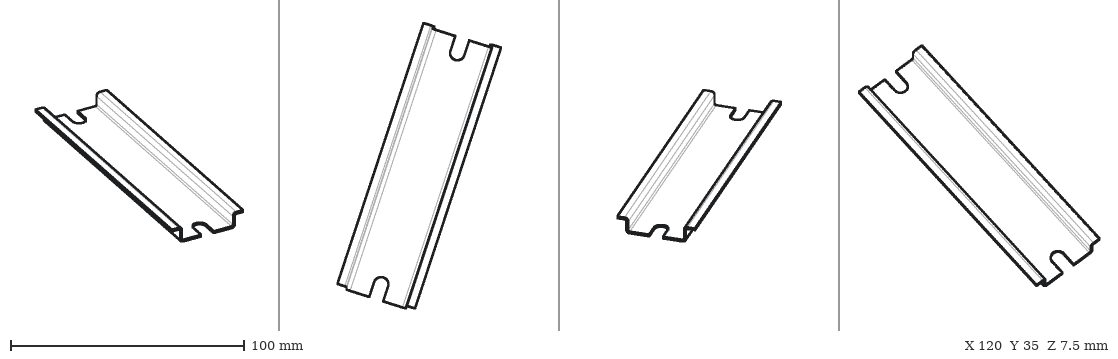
import cadquery as cq

length = 120.0
width = 35.0
height = 7.5

sheet = 1.0
channel_width = 27.0
inner_bend_radius = 0.7
outer_bend_radius = inner_bend_radius + sheet

slot_width = 6.2
slot_depth = 10.0


def rail_section():
    """Closed outline of the folded sheet, in the YZ plane with its base at Z = 0."""
    half_width = width / 2
    half_outer = channel_width / 2
    half_inner = half_outer - sheet
    flange_underside = height - sheet
    return (
        cq.Workplane("YZ")
        .moveTo(-half_width, height)
        .lineTo(-half_inner, height)
        .lineTo(-half_inner, sheet)
        .lineTo(half_inner, sheet)
        .lineTo(half_inner, height)
        .lineTo(half_width, height)
        .lineTo(half_width, flange_underside)
        .lineTo(half_outer, flange_underside)
        .lineTo(half_outer, 0)
        .lineTo(-half_outer, 0)
        .lineTo(-half_outer, flange_underside)
        .lineTo(-half_width, flange_underside)
        .close()
    )


def bend_edges(rail, y, z):
    """Lengthwise corner edges at +Y and -Y for one height."""
    margin = sheet / 4
    corners = rail.edges("|X")
    return corners.filter(
        lambda edge: abs(abs(edge.Center().y) - y) < margin and abs(edge.Center().z - z) < margin
    )


def round_bends(rail):
    """Round both faces of the sheet at all four folds."""
    half_outer = channel_width / 2
    half_inner = half_outer - sheet
    rail = bend_edges(rail, half_outer, 0).fillet(outer_bend_radius)
    rail = bend_edges(rail, half_inner, sheet).fillet(inner_bend_radius)
    rail = bend_edges(rail, half_inner, height).fillet(outer_bend_radius)
    return bend_edges(rail, half_outer, height - sheet).fillet(inner_bend_radius)


def end_slot(end_x):
    """Round-ended cutter centred on a rail end, so half its length enters the rail."""
    return (
        cq.Workplane("XY")
        .center(end_x, 0)
        .slot2D(2 * slot_depth, slot_width)
        .extrude(height)
    )


result = round_bends(rail_section().extrude(length / 2, both=True))
for end_x in (-length / 2, length / 2):
    result = result.cut(end_slot(end_x))